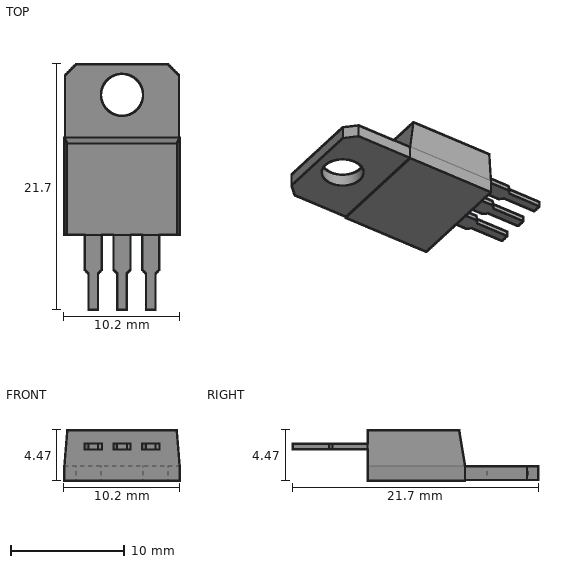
import cadquery as cq

overall_length = 21.7
body_width = 10.2
body_length = 8.61
body_height = 4.47

base_height = 1.3
side_taper = 0.25
rear_taper = 0.52

tab_width = 10.1
tab_length = 6.47
tab_bottom = 0.07
tab_top = base_height
tab_chamfer = 1.0
hole_diameter = 3.69
hole_from_end = 2.71

lead_count = 3
lead_pitch = 2.54
lead_bottom = 2.78
lead_thickness = 0.5
lead_wide = 1.52
lead_narrow = 0.85
lead_wide_length = 3.08
lead_length = overall_length - body_length - tab_length
lead_root = 0.43


def make_body():
    base = cq.Workplane("XY").rect(body_width, body_length).extrude(base_height)
    top_width = body_width - 2 * side_taper
    top_length = body_length - rear_taper
    top_shift = -rear_taper / 2
    upper = (
        cq.Workplane("XY", origin=(0, 0, base_height))
        .rect(body_width, body_length)
        .workplane(offset=body_height - base_height)
        .center(0, top_shift)
        .rect(top_width, top_length)
        .loft(ruled=True)
    )
    return base.union(upper).translate((0, body_length / 2, 0))


def make_tab():
    tab_end = body_length + tab_length
    plate_start = body_length / 2
    plate_length = tab_end - plate_start
    return (
        cq.Workplane("XY", origin=(0, plate_start, tab_bottom))
        .box(tab_width, plate_length, tab_top - tab_bottom, centered=(True, False, False))
        .edges("|Z and >Y")
        .chamfer(tab_chamfer)
    )


def cut_hole(part):
    hole_y = body_length + tab_length - hole_from_end
    hole = cq.Workplane("XY", origin=(0, hole_y, 0)).circle(hole_diameter / 2).extrude(tab_top)
    return part.cut(hole)


def make_lead(x):
    half_wide = lead_wide / 2
    half_narrow = lead_narrow / 2
    shoulder_end = lead_wide_length + half_wide - half_narrow
    return (
        cq.Workplane("XY", origin=(x, 0, lead_bottom))
        .moveTo(-half_wide, lead_root)
        .lineTo(-half_wide, -lead_wide_length)
        .lineTo(-half_narrow, -shoulder_end)
        .lineTo(-half_narrow, -lead_length)
        .lineTo(half_narrow, -lead_length)
        .lineTo(half_narrow, -shoulder_end)
        .lineTo(half_wide, -lead_wide_length)
        .lineTo(half_wide, lead_root)
        .close()
        .extrude(lead_thickness)
    )


result = cut_hole(make_body().union(make_tab()))
for index in range(lead_count):
    lead_x = (index - (lead_count - 1) / 2) * lead_pitch
    result = result.union(make_lead(lead_x))